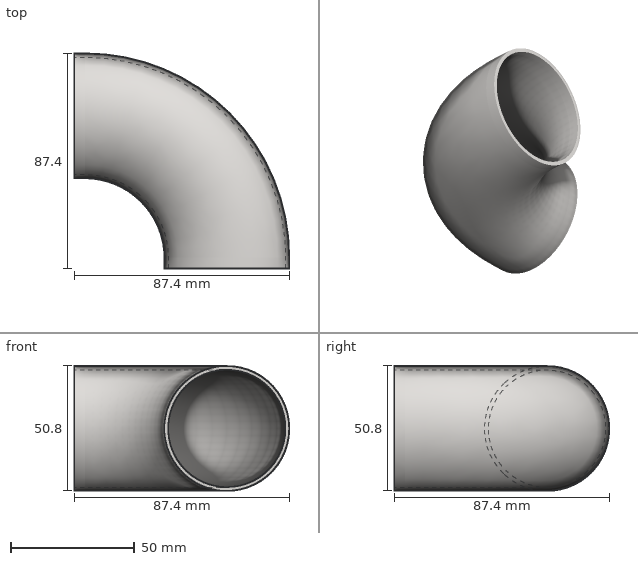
import cadquery as cq
import math

overall_length = 87.4
outer_diameter = 50.8
inner_diameter = 47.6
collar_length = 4.5

bend_radius = overall_length - outer_diameter / 2 - collar_length

bend_middle = bend_radius * math.sqrt(0.5)
centreline = (
    cq.Workplane("XY")
    .moveTo(bend_radius, -collar_length)
    .lineTo(bend_radius, 0)
    .threePointArc((bend_middle, bend_middle), (0, bend_radius))
    .lineTo(-collar_length, bend_radius)
)

result = (
    cq.Workplane("XZ", origin=(bend_radius, -collar_length, 0))
    .circle(outer_diameter / 2)
    .circle(inner_diameter / 2)
    .sweep(centreline)
)